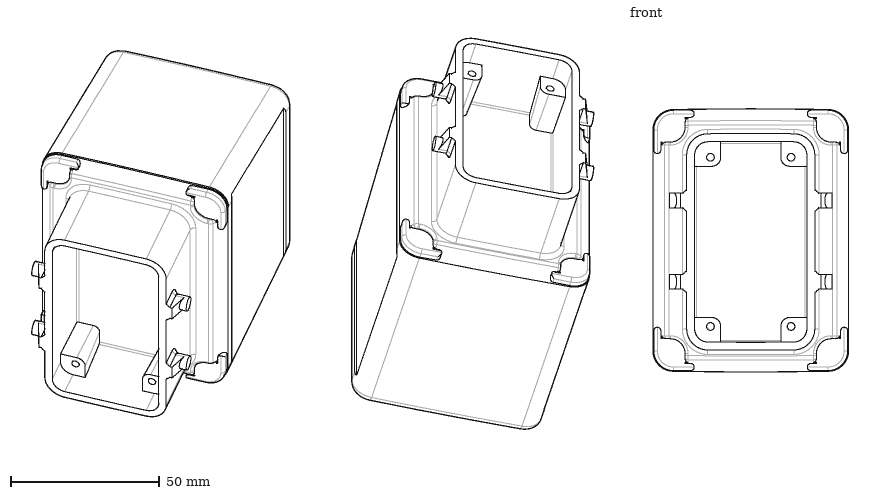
import cadquery as cq
import math


housing_width = 66.0
housing_height = 88.7
housing_back = 99.5
housing_front = 32.0
housing_corner = 7.0
roof_slope = 10.0
back_fillet = 3.0
crown_radius = 1343.1

recess_depth = 0.45
recess_front = 35.7
recess_back = 92.7
recess_ramp = 0.9

nose_front = 26.9
nose_rim = 0.6
nose_fillet = 2.0

pad_front = 28.4
pad_inset_x = 0.3
pad_inset_z = 0.5
pad_outer_corner = 6.7
pad_edge_fillet = 1.2
pad_length_x = 10.8
pad_length_z = 11.2
pad_corner = 5.0
arm_thickness = 2.4
arm_reach_x = 13.9
arm_reach_z = 15.1
pocket_edge_fillet = 1.0

neck_width = 43.2
neck_bottom = 7.4
neck_top = 80.4
neck_corner = 7.2
neck_wall = 2.7
neck_root_fillet = 1.5
cavity_floor = 26.3
cavity_floor_fillet = 0.6

post_front = 8.8
post_width = 8.8
post_height = 8.4
post_corner = 3.0
post_taper = 2.5
screw_hole_diameter = 2.6
screw_hole_depth = 11.9
screw_spacing_x = 27.2
screw_spacing_z = 57.0

peg_heights = (30.4, 57.8)
peg_y = 6.2
peg_diameter = 5.0
peg_tip_x = 27.5
peg_base_height = 1.3
bevel_angle = 45.0
ramp_high_x = 25.9
ramp_low_x = 23.7

half_width = housing_width / 2
housing_middle = housing_height / 2
half_neck = neck_width / 2
neck_middle = (neck_bottom + neck_top) / 2


def crowned_outline(plane, width, bottom, top, corner):
    """Rounded rectangle whose upper and lower sides are shallow arcs, peaking at x = 0."""
    half = width / 2
    drop = crown_radius - math.sqrt(crown_radius**2 - half**2)
    sketch = (
        cq.Sketch()
        .segment((-half, bottom + drop), (-half, top - drop))
        .arc((-half, top - drop), (0, top), (half, top - drop))
        .segment((half, top - drop), (half, bottom + drop))
        .arc((half, bottom + drop), (0, bottom), (-half, bottom + drop))
        .assemble()
        .vertices()
        .fillet(corner)
    )
    return cq.Workplane(plane).placeSketch(sketch)


def plane_at(y):
    """Plane across the part at y, with X and Z as its axes; it faces the open end."""
    return cq.Plane(origin=(0, y, 0), xDir=(1, 0, 0), normal=(0, -1, 0))


def prism(width, bottom, top, corner, front, back):
    """Crowned outline carried level from y = front to y = back."""
    return crowned_outline(plane_at(back), width, bottom, top, corner).extrude(back - front)


def make_housing():
    """Housing with a sloping roof: what a level prism and a prism along the roof share."""
    spare = housing_height
    lower = prism(
        housing_width, 0, housing_height + spare, housing_corner, housing_front, housing_back
    )
    slope = math.radians(roof_slope)
    roof_plane = cq.Plane(
        origin=(0, housing_front, housing_height),
        xDir=(1, 0, 0),
        normal=(0, -math.cos(slope), math.sin(slope)),
    )
    roof_reach = 2 * (housing_back - housing_front)
    upper = crowned_outline(roof_plane, housing_width, -housing_height - spare, 0, housing_corner)
    upper = upper.extrude(roof_reach, both=True)
    body = lower.intersect(upper).faces(">Y").edges().fillet(back_fillet)
    return body.cut(make_side_recesses())


def make_side_recesses():
    """Cutters for the side recesses, with a ramp at the front and back ends."""
    floor_x = half_width - recess_depth
    recess = (
        cq.Workplane("XY")
        .moveTo(floor_x, recess_front + recess_ramp)
        .lineTo(floor_x, recess_back - recess_ramp)
        .lineTo(half_width, recess_back)
        .lineTo(half_width, recess_front)
        .close()
        .extrude(housing_height)
    )
    return recess.union(recess.mirror("YZ"))


def at_all_corners(corner, middle):
    """Copy a solid made at the lower +X corner to all four corners around the height `middle`."""
    pair = corner.union(corner.mirror("YZ"))
    return pair.union(pair.mirror("XY", (0, 0, middle)))


def corner_block(front, back):
    """Block over the lower +X corner, rounded where it faces the middle of the part."""
    return (
        cq.Workplane(plane_at(back))
        .center(half_width - pad_length_x / 2, pad_length_z / 2)
        .rect(pad_length_x, pad_length_z)
        .extrude(back - front)
        .edges("|Y and <X and >Z")
        .fillet(pad_corner)
    )


def make_nose():
    """Bevelled slab with a pocket at each corner."""
    nose = prism(housing_width, 0, housing_height, housing_corner, nose_front, housing_front)
    nose = nose.faces("<Y").edges().chamfer(housing_front - nose_front - nose_rim)
    nose = nose.faces("<Y").edges().fillet(nose_fillet)
    nose = nose.cut(at_all_corners(corner_block(nose_front, pad_front), housing_middle))
    pocket_arcs = nose.faces("<Y").edges("%CIRCLE").edges(cq.selectors.RadiusNthSelector(0))
    return pocket_arcs.fillet(pocket_edge_fillet)


def make_pads():
    """Corner pads, each with two rounded arms along the edges of the housing."""
    depth = housing_front - pad_front
    slab = (
        cq.Workplane(plane_at(housing_front))
        .center(0, housing_middle)
        .rect(housing_width - 2 * pad_inset_x, housing_height - 2 * pad_inset_z)
        .extrude(depth)
        .edges("|Y")
        .fillet(pad_outer_corner)
        .faces("<Y")
        .edges()
        .fillet(pad_edge_fillet)
    )
    arm_x = half_width - pad_inset_x - arm_thickness / 2
    arm_z = pad_inset_z + arm_thickness / 2
    flat_arm = (
        cq.Workplane(plane_at(housing_front))
        .center(half_width - arm_reach_x / 2, arm_z)
        .slot2D(arm_reach_x, arm_thickness)
        .extrude(depth)
    )
    upright_arm = (
        cq.Workplane(plane_at(housing_front))
        .center(arm_x, arm_reach_z / 2)
        .slot2D(arm_reach_z, arm_thickness, 90)
        .extrude(depth)
    )
    region = corner_block(pad_front, housing_front).union(flat_arm).union(upright_arm)
    return slab.intersect(at_all_corners(region, housing_middle))


def make_cavity():
    cavity = prism(
        neck_width - 2 * neck_wall,
        neck_bottom + neck_wall,
        neck_top - neck_wall,
        neck_corner - neck_wall,
        0,
        cavity_floor,
    )
    return cavity.faces(">Y").edges().fillet(cavity_floor_fillet)


def make_posts():
    """Four screw posts filling the corners of the cavity, with blind holes."""
    cavity_x = half_neck - neck_wall
    cavity_bottom = neck_bottom + neck_wall
    post = (
        cq.Workplane(plane_at(post_front))
        .center(cavity_x, cavity_bottom)
        .sketch()
        .rect(2 * post_width, 2 * post_height)
        .vertices()
        .fillet(post_corner)
        .finalize()
        .extrude(post_front - cavity_floor, taper=post_taper)
    )
    posts = at_all_corners(post, neck_middle).intersect(make_cavity())
    holes = (
        cq.Workplane(plane_at(post_front))
        .center(0, neck_middle)
        .rect(screw_spacing_x, screw_spacing_z, forConstruction=True)
        .vertices()
        .circle(screw_hole_diameter / 2)
        .extrude(-screw_hole_depth)
    )
    return posts.cut(holes)


def make_peg(z):
    """Locking peg on the +X side with its sloped base and lead-in ramp."""
    radius = peg_diameter / 2
    side_plane = cq.Plane(origin=(half_neck, peg_y, z), xDir=(0, 1, 0), normal=(1, 0, 0))
    peg = cq.Workplane(side_plane).circle(radius).extrude(peg_tip_x - half_neck)
    foot = radius + peg_base_height
    base_run = 2 * (peg_y + foot)
    base = (
        cq.Workplane(side_plane)
        .center(-base_run / 2, 0)
        .slot2D(base_run + 2 * foot, 2 * foot)
        .extrude(peg_base_height, taper=bevel_angle)
    )
    ramp = (
        cq.Workplane("XY", origin=(0, 0, z - radius))
        .moveTo(half_neck, 0)
        .lineTo(ramp_low_x, 0)
        .lineTo(ramp_high_x, peg_y)
        .lineTo(half_neck, peg_y)
        .close()
        .extrude(peg_diameter)
    )
    behind_open_end = cq.Workplane("XY").box(
        housing_width, housing_front, housing_height, centered=(True, False, False)
    )
    return peg.union(base.intersect(behind_open_end)).union(ramp)


def make_pegs():
    pegs = make_peg(peg_heights[0]).union(make_peg(peg_heights[1]))
    return pegs.union(pegs.mirror("YZ"))


def make_front():
    """Nose and neck joined, with a fillet where the neck leaves the nose."""
    neck = prism(neck_width, neck_bottom, neck_top, neck_corner, 0, housing_front)
    margin = 0.1
    root_edges = cq.selectors.BoxSelector(
        (-half_neck - margin, nose_front - margin, neck_bottom - margin),
        (half_neck + margin, nose_front + margin, neck_top + margin),
        boundingbox=True,
    )
    return make_nose().union(neck).edges(root_edges).fillet(neck_root_fillet)


shell = make_housing().union(make_pads()).union(make_front())
result = shell.cut(make_cavity()).union(make_posts()).union(make_pegs())